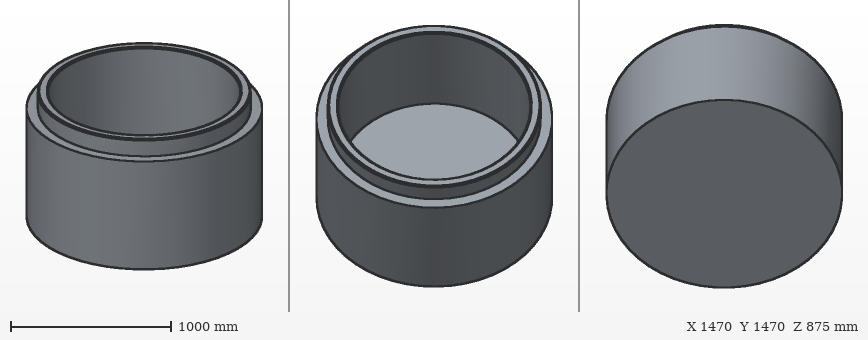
import cadquery as cq

outer_diameter = 1470.0
total_height = 875.0

neck_diameter = 1329.0
neck_height = 119.0
rim_chamfer = 9.0

bore_diameter = 1198.0
floor_thickness = 197.0

shoulder_z = total_height - neck_height
outer_radius = outer_diameter / 2
neck_radius = neck_diameter / 2
bore_radius = bore_diameter / 2

half_section = (
    cq.Workplane("XZ")
    .lineTo(outer_radius, 0)
    .lineTo(outer_radius, shoulder_z)
    .lineTo(neck_radius, shoulder_z)
    .lineTo(neck_radius, total_height - rim_chamfer)
    .lineTo(neck_radius - rim_chamfer, total_height)
    .lineTo(bore_radius + rim_chamfer, total_height)
    .lineTo(bore_radius, total_height - rim_chamfer)
    .lineTo(bore_radius, floor_thickness)
    .lineTo(0, floor_thickness)
    .close()
)

result = half_section.revolve(360, (0, 0, 0), (0, 1, 0))